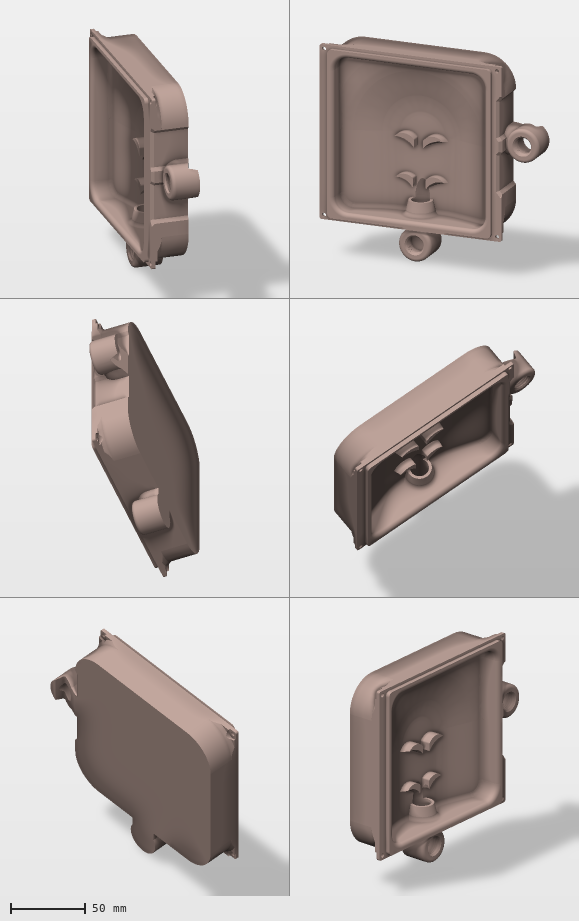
import cadquery as cq
import math

overall_width = 156.9
overall_height = 148.5
width = 132.5
height = 124.0
depth = 29.0
mid_x = width / 2

lip_height = 3.0
lip_side_inset = 6.7
lip_end_inset = 2.2
lip_corner = 3.1
flange_back = 6.9
flange_corner = 1.4
screw_hole_dia = 3.0
screw_inset = 3.1
spotface_dia = 8.2
spotface_y = 5.5

body_corner = 22.9
flare_start = 9.9
flare_growth = 2.0

wall_side = 11.1
wall_end = 6.9
cavity_corner = 10.0
cavity_round = 2.8
cavity_depth = 24.6
dome_z = 61.2
dome_flat_radius = 13.6
dome_bend_radius = 50.2
dome_slope = math.radians(17.2)
dome_straight_end = 47.4
dome_reach = 109.8

recess_depth = 2.0
recess_ramp = 2.4
recess_half_span = 33.9
bump_half_width = 4.2
recess_chamfer = 1.9
recess_clearance = 7.8

boss_dia = 23.8
boss_front = 9.9
boss_round = 2.4
side_boss_offset = overall_width - width - boss_dia / 2
bottom_boss_offset = overall_height - height - boss_dia / 2
neck_width = 20.4
neck_axis_y = 21.3
neck_root = 4.7
thread_minor = 12.1
thread_major = 12.9
thread_mouth = 14.1
thread_pitch = 1.5
thread_turns = 4
side_boss_z = 67.1

notch_floor_x = 149.7
notch_floor_y = 22.6
notch_end_x = 151.9
notch_round = 1.3

tube_y = 21.0
tube_top = 16.5
tube_top_dia = 16.8
tube_base_dia = 20.0
tube_flare = 2.8
bore_dia = thread_major
bore_straight_top = 17.5
bore_tip_z = 32.2
bore_tip_bend = 31.4

bracket_upper_front = 17.1
bracket_lower_front = 18.5
bracket_radius = 9.4
bracket_axis_x = 10.8
bracket_axis_z = 54.0
bracket_corner = 1.4
bracket_drop = 29.3
bracket_upper_inner = 3.3
bracket_lower_inner = 4.7
bracket_front_tip = 17.5
bracket_back_tip = 19.1
arch_front_rise = 5.6
arch_back_rise = 2.7
bracket_root = 0.8


def front_plane(y):
    """Workplane facing -Y at depth y; extrude by a negative length to go toward +Y."""
    return cq.Workplane("XZ", origin=(0, y, 0))


def block(side_inset, end_inset, y_start, y_end, corner):
    """Rounded rectangular block inset from the outer width and height."""
    return (
        front_plane(y_start)
        .center(mid_x, height / 2)
        .rect(width - 2 * side_inset, height - 2 * end_inset)
        .extrude(y_start - y_end)
        .edges("|Y")
        .fillet(corner)
    )


def corner_points(inset):
    return [(x, z) for x in (inset, width - inset) for z in (inset, height - inset)]


def make_shell():
    """Lip, flange and the solid body with its flared corners."""
    square = block(0, 0, lip_height, depth, flange_corner)
    shell = block(0, 0, lip_height, depth, body_corner)
    shell = shell.union(block(0, 0, lip_height, flange_back, flange_corner))
    for x, z in corner_points(body_corner):
        flare = cq.Solid.makeCone(
            body_corner + flare_growth,
            body_corner,
            flare_start - flange_back,
            pnt=cq.Vector(x, flange_back, z),
            dir=cq.Vector(0, 1, 0),
        )
        shell = shell.union(square.intersect(cq.Workplane(flare)))
    lip = block(lip_side_inset, lip_end_inset, 0, flange_back, lip_corner)
    return shell.union(lip)


def dome_profile(plane):
    """Half section of the dished cavity back: radius from the dome axis against Y."""
    bend_run = dome_bend_radius * math.sin(dome_slope)
    bend_fall = dome_bend_radius * (1 - math.cos(dome_slope))
    half_run = dome_bend_radius * math.sin(dome_slope / 2)
    half_fall = dome_bend_radius * (1 - math.cos(dome_slope / 2))
    line_start = dome_flat_radius + bend_run
    rim_radius = dome_straight_end + bend_run
    line_start_y = cavity_depth - bend_fall
    line_end_y = line_start_y - (dome_straight_end - line_start) * math.tan(dome_slope)
    rim_y = line_end_y - bend_fall
    return (
        plane.moveTo(0, 0)
        .lineTo(0, cavity_depth)
        .lineTo(dome_flat_radius, cavity_depth)
        .threePointArc(
            (dome_flat_radius + half_run, cavity_depth - half_fall),
            (line_start, line_start_y),
        )
        .lineTo(dome_straight_end, line_end_y)
        .threePointArc((rim_radius - half_run, rim_y + half_fall), (rim_radius, rim_y))
        .lineTo(dome_reach, rim_y)
        .lineTo(dome_reach, 0)
        .close()
    )


def make_cavity():
    """Dished cavity: half a dome above the axis, the same section run straight below it."""
    plane = cq.Workplane("XY", origin=(mid_x, 0, dome_z))
    dome = dome_profile(plane).revolve(180, (0, 0, 0), (0, -1, 0))
    trough = dome_profile(plane).extrude(-dome_reach)
    dish = dome.union(trough).union(trough.mirror("YZ", (mid_x, 0, 0)))
    walls = block(wall_side, wall_end, 0, depth, cavity_corner)
    cavity = walls.intersect(dish)
    flat_walls = cavity.faces("<X or >X or <Z or >Z")
    return flat_walls.edges("not(|Y or <Y)").fillet(cavity_round)


def round_mouth(shell):
    """Round the edge where the cavity opens through the lip face."""
    edge_x = (lip_side_inset + wall_side) / 2
    edge_z = (lip_end_inset + wall_end) / 2
    mouth = cq.selectors.BoxSelector((edge_x, -1.5, edge_z), (width - edge_x, 1.5, height - edge_z))
    return shell.faces("<Y").edges(mouth).fillet(cavity_round)


def make_recess():
    """Long recess in the +X side, split by a bump at the side boss, bevelled at the flange face."""
    floor_x = width - recess_depth
    outer_x = width + recess_clearance
    upper = [
        (floor_x, side_boss_z + bump_half_width + recess_ramp),
        (floor_x, side_boss_z + recess_half_span - recess_ramp),
        (width, side_boss_z + recess_half_span),
        (outer_x, side_boss_z + recess_half_span),
    ]
    bump = [(width, side_boss_z - bump_half_width), (width, side_boss_z + bump_half_width)]
    lower = [(x, 2 * side_boss_z - z) for x, z in reversed(upper)]
    outline = lower + bump + upper
    through = front_plane(0).polyline(outline).close().extrude(-depth)
    bevel = (
        front_plane(lip_height)
        .polyline(outline)
        .close()
        .offset2D(recess_chamfer, "intersection")
        .extrude(-recess_chamfer, taper=45)
    )
    return through.union(bevel)


def make_screw_holes():
    """Corner screw holes with a spot face behind the flange."""
    points = corner_points(screw_inset)
    holes = front_plane(0).pushPoints(points).circle(screw_hole_dia / 2).extrude(-depth)
    spots = front_plane(spotface_y).pushPoints(points).circle(spotface_dia / 2).extrude(spotface_y - depth)
    return holes.union(spots)


def place_side(part):
    """Move a boss feature built along +X from the origin to the +X side."""
    return part.translate((width, 0, side_boss_z))


def place_bottom(part):
    """Turn a boss feature built along +X from the origin to point down from the bottom."""
    return part.rotate((0, 0, 0), (0, 1, 0), 90).translate((mid_x, 0, 0))


def make_boss(boss_offset):
    """Round boss along Y with a U-shaped neck running back into the wall."""
    boss = (
        front_plane(boss_front)
        .center(boss_offset, 0)
        .circle(boss_dia / 2)
        .extrude(boss_front - depth)
        .faces("<Y")
        .edges()
        .fillet(boss_round)
    )
    neck_length = boss_offset + neck_root
    neck_plane = cq.Workplane("YZ", origin=(-neck_root, 0, 0))
    neck = neck_plane.center(neck_axis_y, 0).circle(neck_width / 2).extrude(neck_length)
    web_depth = depth - neck_axis_y
    web = (
        neck_plane.center(neck_axis_y + web_depth / 2, 0)
        .rect(web_depth, neck_width)
        .extrude(neck_length)
    )
    envelope = front_plane(0).rect(2 * neck_length, neck_width).extrude(-depth)
    return boss.union(neck.union(web).intersect(envelope))


def make_thread_hole(boss_offset, end_y):
    """Hole along Y from the boss front: bevelled mouth, thread grooves, then a plain bore."""
    minor = thread_minor / 2
    major = thread_major / 2
    mouth = thread_mouth / 2
    half_pitch = thread_pitch / 2
    start_y = boss_front + mouth - minor
    points = [(0, boss_front), (mouth, boss_front), (minor, start_y)]
    for turn in range(thread_turns):
        groove_y = start_y + turn * thread_pitch
        points += [(major, groove_y + half_pitch), (minor, groove_y + thread_pitch)]
    points += [(minor, end_y), (0, end_y)]
    hole = cq.Workplane("XY").polyline(points).close().revolve(360, (0, 0, 0), (0, 1, 0))
    return hole.translate((boss_offset, 0, 0))


def make_notch():
    """Sloped V notch across the back of the side boss."""
    return (
        cq.Workplane("XY", origin=(0, 0, side_boss_z - boss_dia / 2))
        .polyline([(width, depth), (notch_floor_x, notch_floor_y), (notch_end_x, depth)])
        .close()
        .extrude(boss_dia)
        .edges("|Z and <Y")
        .fillet(notch_round)
    )


def make_tube():
    """Tapered cable tube with a flared foot on the cavity floor."""
    top_radius = tube_top_dia / 2
    base_radius = tube_base_dia / 2
    foot_radius = base_radius + tube_flare
    flare_mid = tube_flare * (1 - math.sqrt(0.5))
    return (
        cq.Workplane("XZ", origin=(mid_x, tube_y, 0))
        .moveTo(0, wall_end)
        .lineTo(foot_radius, wall_end)
        .threePointArc((base_radius + flare_mid, wall_end + flare_mid), (base_radius, wall_end + tube_flare))
        .lineTo(top_radius, tube_top)
        .lineTo(0, tube_top)
        .close()
        .revolve(360, (0, 0, 0), (0, 1, 0))
        .intersect(block(0, 0, 0, depth, flange_corner))
    )


def make_bore():
    """Cable passage: round lower end in the bottom boss, tapered tip in the cavity back."""
    radius = bore_dia / 2
    tip_height = bore_tip_z - bore_straight_top
    tip_radius = radius - bore_tip_bend + math.sqrt(bore_tip_bend**2 - tip_height**2)
    return (
        cq.Workplane("XZ", origin=(mid_x, tube_y, 0))
        .moveTo(0, -bottom_boss_offset - radius)
        .radiusArc((radius, -bottom_boss_offset), -radius)
        .lineTo(radius, bore_straight_top)
        .radiusArc((tip_radius, bore_tip_z), -bore_tip_bend)
        .lineTo(0, bore_tip_z)
        .close()
        .revolve(360, (0, 0, 0), (0, 1, 0))
    )


def on_bracket_arc(x):
    """Point of the bracket's crown arc at distance x from the middle plane."""
    rise = math.sqrt(bracket_radius**2 - (x - bracket_axis_x) ** 2)
    return (x, bracket_axis_z + rise)


def hollow_wire(y, inner_foot, tip_x, rise):
    """Closed outline at depth y: arched from the bracket's inner foot to its outer tip."""
    tip = on_bracket_arc(tip_x)
    arch_top = (bracket_axis_x, inner_foot[1] + rise)
    base_z = bracket_axis_z - bracket_radius
    outer_x = bracket_axis_x + 2 * bracket_radius
    outline = (
        front_plane(y)
        .moveTo(*inner_foot)
        .threePointArc(arch_top, tip)
        .lineTo(outer_x, tip[1])
        .lineTo(outer_x, base_z)
        .lineTo(inner_foot[0], base_z)
        .close()
    )
    return outline.val()


def make_bracket(inner_x, front_y):
    """Arched bracket on the cavity back, on the +X side, its underside hollowed by a ruled surface."""
    back_y = cavity_depth + bracket_root
    crown = (bracket_axis_x, bracket_axis_z + bracket_radius)
    inner_foot = (inner_x, bracket_axis_z)
    solid = (
        front_plane(front_y)
        .moveTo(*inner_foot)
        .lineTo(*on_bracket_arc(inner_x))
        .threePointArc(crown, (bracket_axis_x + bracket_radius, bracket_axis_z))
        .close()
        .extrude(front_y - back_y)
    )
    corner_z = on_bracket_arc(inner_x)[1]
    corner = cq.selectors.NearestToPointSelector((inner_x, (front_y + back_y) / 2, corner_z))
    solid = solid.edges("|Y").edges(corner).fillet(bracket_corner)

    hollow = cq.Solid.makeLoft(
        [
            hollow_wire(front_y, inner_foot, bracket_front_tip, arch_front_rise),
            hollow_wire(back_y, inner_foot, bracket_back_tip, arch_back_rise),
        ],
        True,
    )
    return solid.cut(cq.Workplane(hollow))


shell = round_mouth(make_shell().cut(make_cavity()))
shell = shell.cut(make_recess()).cut(make_screw_holes())

shell = shell.union(place_side(make_boss(side_boss_offset)))
shell = shell.cut(place_side(make_thread_hole(side_boss_offset, depth))).cut(make_notch())
shell = shell.union(place_bottom(make_boss(bottom_boss_offset)))
shell = shell.union(make_tube())

upper_bracket = make_bracket(bracket_upper_inner, bracket_upper_front)
lower_bracket = make_bracket(bracket_lower_inner, bracket_lower_front).translate((0, 0, -bracket_drop))
for bracket in (upper_bracket, lower_bracket):
    for half in (bracket, bracket.mirror("YZ")):
        shell = shell.union(half.translate((mid_x, 0, 0)))

result = shell.cut(make_bore()).cut(place_bottom(make_thread_hole(bottom_boss_offset, tube_y)))